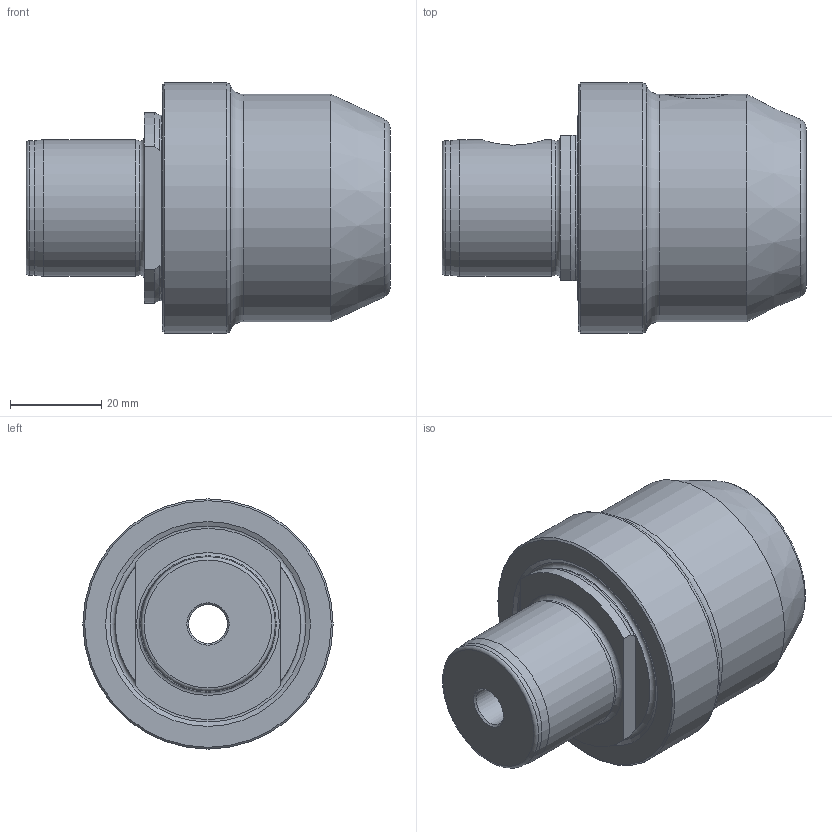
import cadquery as cq
import math


shank_length = 30.0
shank_radius = 15.0
lead_in_radius = 14.78
lead_in_nose = 0.75
lead_in_length = 1.8
lead_in_taper_length = 2.1
relief_radius = 14.7
relief_fillet = 1.0
relief_width = 1.9
relief_taper_length = relief_width - relief_fillet

collar_height = 4.0
collar_radius = 21.0
collar_land = 2.2
collar_taper_length = 1.2
collar_root_radius = 20.4
flat_offset = 16.0
flat_shoulder = 0.3

recess_mouth_radius = 22.5
recess_wall_angle = math.radians(25)
recess_corner = 0.8

flange_radius = 27.5
flange_rim_end = 14.0
flange_front_chamfer = 0.4
flange_back_fillet = 1.0
body_radius = 25.0
body_length = 50.0
neck_fillet = 3.0

nose_start = 37.0
nose_angle = math.radians(25)
nose_fillet = 2.0

bore_radius = 4.25
bore_chamfer = 0.4

screw_x = 26.0
screw_radius = 7.0
screw_length = 16.0

dimple_x = -14.3
dimple_radius = 7.0
dimple_depth = dimple_radius

cut_clearance = 1.0


def arc_point(center, radius, angle):
    """Point (x, radial distance) on a circle in the profile plane; angles start at +X."""
    return (center[0] + radius * math.cos(angle), center[1] + radius * math.sin(angle))


def holder_blank():
    """Revolve the stepped outline about the X axis, leaving the bore hollow."""
    shank_end = -shank_length
    collar_face = -collar_height
    lead_in_end = shank_end + lead_in_length
    relief_start = collar_face - relief_width

    nose_round_center = (shank_end + lead_in_nose, lead_in_radius - lead_in_nose)
    relief_center = (collar_face - relief_fillet, relief_radius + relief_fillet)

    wall_start_radius = collar_root_radius + recess_corner * (1 + math.sin(recess_wall_angle))
    recess_depth = (recess_mouth_radius - wall_start_radius) * math.tan(recess_wall_angle)
    recess_center = (
        recess_depth - recess_corner * math.cos(recess_wall_angle),
        collar_root_radius + recess_corner,
    )

    fillet_sum = flange_back_fillet + neck_fillet
    blend_angle = math.acos(1 - (flange_radius - body_radius) / fillet_sum)
    back_center = (flange_rim_end, flange_radius - flange_back_fillet)
    neck_end = flange_rim_end + fillet_sum * math.sin(blend_angle)
    neck_center = (neck_end, body_radius + neck_fillet)

    end_x = body_length - nose_fillet
    cone_normal = math.pi / 2 - nose_angle
    tangent_x = end_x + nose_fillet * math.cos(cone_normal)
    tangent_radius = body_radius - (tangent_x - nose_start) * math.tan(nose_angle)
    end_center = (end_x, tangent_radius - nose_fillet * math.sin(cone_normal))

    profile = (
        cq.Workplane("XZ")
        .moveTo(shank_end, bore_radius + bore_chamfer)
        .lineTo(shank_end, nose_round_center[1])
        .threePointArc(
            arc_point(nose_round_center, lead_in_nose, 0.75 * math.pi),
            (nose_round_center[0], lead_in_radius),
        )
        .lineTo(lead_in_end, lead_in_radius)
        .lineTo(lead_in_end + lead_in_taper_length, shank_radius)
        .lineTo(relief_start, shank_radius)
        .lineTo(relief_start + relief_taper_length, relief_radius)
        .threePointArc(
            arc_point(relief_center, relief_fillet, -math.pi / 4),
            (collar_face, relief_center[1]),
        )
        .lineTo(collar_face, collar_radius)
        .lineTo(collar_face + collar_land, collar_radius)
        .lineTo(collar_face + collar_land + collar_taper_length, collar_root_radius)
        .lineTo(recess_center[0], collar_root_radius)
        .threePointArc(
            arc_point(recess_center, recess_corner, 0),
            arc_point(recess_center, recess_corner, recess_wall_angle),
        )
        .lineTo(0, recess_mouth_radius)
        .lineTo(0, flange_radius - flange_front_chamfer)
        .lineTo(flange_front_chamfer, flange_radius)
        .lineTo(back_center[0], flange_radius)
        .threePointArc(
            arc_point(back_center, flange_back_fillet, (math.pi - blend_angle) / 2),
            arc_point(back_center, flange_back_fillet, math.pi / 2 - blend_angle),
        )
        .threePointArc(
            arc_point(neck_center, neck_fillet, -(math.pi + blend_angle) / 2),
            (neck_end, body_radius),
        )
        .lineTo(nose_start, body_radius)
        .lineTo(tangent_x, tangent_radius)
        .threePointArc(
            arc_point(end_center, nose_fillet, cone_normal / 2),
            (body_length, end_center[1]),
        )
        .lineTo(body_length, bore_radius)
        .lineTo(shank_end + bore_chamfer, bore_radius)
        .close()
    )
    return profile.revolve(360, (0, 0, 0), (1, 0, 0))


def wrench_flat_cutter(side):
    """Block that trims the collar to one flat; side is +1 or -1 along Y."""
    length = collar_height - flat_shoulder
    width = collar_radius
    return cq.Workplane("XY").box(length, width, 2 * collar_radius).translate(
        (-collar_height + length / 2, side * (flat_offset + width / 2), 0)
    )


def dimple_cutter():
    """Cone entering the shank from +Y, flared to clear the curved surface."""
    cone = cq.Solid.makeCone(
        dimple_radius + cut_clearance,
        0,
        dimple_depth + cut_clearance,
        pnt=cq.Vector(dimple_x, shank_radius + cut_clearance, 0),
        dir=cq.Vector(0, -1, 0),
    )
    return cq.Workplane(obj=cone)


def screw_cylinder(length):
    """Cylinder along +Y standing on the seat of the screw hole."""
    cylinder = cq.Solid.makeCylinder(
        screw_radius,
        length,
        pnt=cq.Vector(screw_x, body_radius - screw_length, 0),
        dir=cq.Vector(0, 1, 0),
    )
    return cq.Workplane(obj=cylinder)


housing = holder_blank()
for side in (-1, 1):
    housing = housing.cut(wrench_flat_cutter(side))
housing = housing.cut(dimple_cutter())
housing = housing.cut(screw_cylinder(screw_length + cut_clearance))

screw = screw_cylinder(screw_length)

result = cq.Compound.makeCompound([housing.val(), screw.val()])